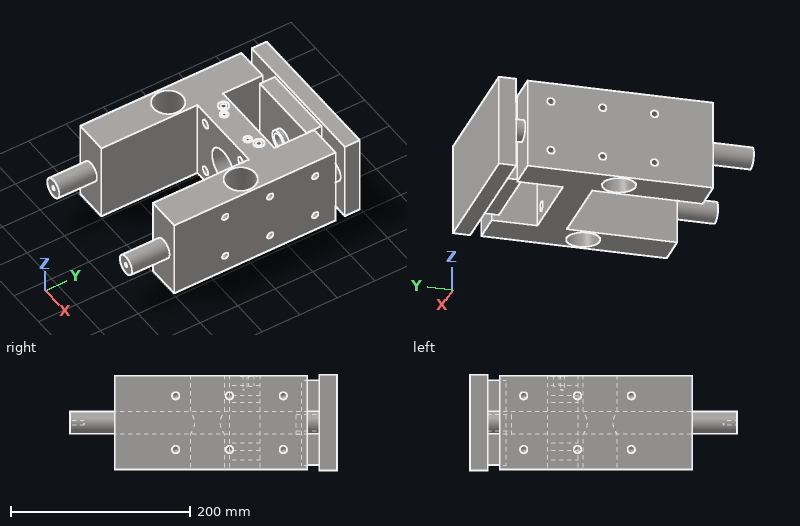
import cadquery as cq
import math


rod_diameter = 25.0
rod_spacing = 148.0
rod_x = rod_spacing / 2
rod_free_end = 50.0
rod_centre_hole_diameter = 4.92
rod_centre_hole_depth = 15.0

housing_width = 192.0
housing_length = 215.0
housing_height = 105.0
housing_start = rod_free_end
housing_end = housing_start + housing_length
arm_gap = 105.0
bridge_thickness = 34.0
front_recess_depth = 53.0
bridge_end = housing_end - front_recess_depth
bridge_start = bridge_end - bridge_thickness

window_diameter = 38.0
window_y = 153.0
bridge_bore_diameter = 45.0
bolt_hole_diameter = 11.0
bolt_spacing = 72.0

side_hole_diameter = 8.38
side_hole_depth = 20.0
side_hole_pitch = 60.0
side_hole_columns = 3
side_hole_rows = 2
side_hole_y = 178.0

large_port_spacing = bolt_spacing
large_port_y = bridge_end - 10.0
large_port_recess_diameter = 13.0
large_port_hole_diameter = 6.65
large_port_depth = housing_height / 2 - bolt_spacing / 2
small_port_spacing = 48.0
small_port_y = bridge_end - 17.0
small_port_recess_diameter = 10.0
small_port_hole_diameter = 4.92
small_port_depth = 15.0
port_recess_depth = 1.0

plate_width = 190.0
plate_height = 107.0
plate_thickness = 20.0
housing_to_plate_gap = 13.0
plate_start = housing_end + housing_to_plate_gap
block_size = 95.0
block_thickness = 20.0
block_start = plate_start - block_thickness
boss_diameter = 26.0
boss_length = 6.0
boss_start = block_start - boss_length
boss_hole_diameter = 18.38

drill_tip_angle = 118.0


def box(width, start, length, height):
    """Box centred on X and Z that begins at Y = start."""
    return cq.Workplane("XY").box(width, length, height).translate((0, start + length / 2, 0))


def cylinder(diameter, length, origin, direction):
    """Cylinder that grows from origin along direction."""
    return cq.Workplane(
        cq.Solid.makeCylinder(diameter / 2, length, cq.Vector(*origin), cq.Vector(*direction))
    )


def drilled_hole(diameter, depth, origin, direction):
    """Cutter for a blind hole with a conical drill tip beyond its full-diameter depth."""
    radius = diameter / 2
    tip_length = radius / math.tan(math.radians(drill_tip_angle / 2))
    start = cq.Vector(*origin)
    axis = cq.Vector(*direction)
    tip = cq.Solid.makeCone(radius, 0, tip_length, start + axis * depth, axis)
    return cylinder(diameter, depth, origin, direction).union(cq.Workplane(tip))


def cut_bridge_holes(body):
    """Central bore and four bolt holes along Y through the bridge."""
    body = body.cut(cylinder(bridge_bore_diameter, bridge_thickness, (0, bridge_start, 0), (0, 1, 0)))
    for side in (-1, 1):
        for level in (-1, 1):
            origin = (side * bolt_spacing / 2, bridge_start, level * bolt_spacing / 2)
            body = body.cut(cylinder(bolt_hole_diameter, bridge_thickness, origin, (0, 1, 0)))
    return body


def cut_rod_bores_and_windows(body):
    """Bore for each rod along its arm, crossed by a vertical window."""
    for side in (-1, 1):
        x = side * rod_x
        body = body.cut(cylinder(rod_diameter, housing_length, (x, housing_start, 0), (0, 1, 0)))
        window_origin = (x, window_y, -housing_height / 2)
        body = body.cut(cylinder(window_diameter, housing_height, window_origin, (0, 0, 1)))
    return body


def cut_side_holes(body):
    """Grid of blind holes in both outer side faces."""
    for side in (-1, 1):
        for column in range(side_hole_columns):
            y = side_hole_y + (column - (side_hole_columns - 1) / 2) * side_hole_pitch
            for row in range(side_hole_rows):
                z = (row - (side_hole_rows - 1) / 2) * side_hole_pitch
                origin = (side * housing_width / 2, y, z)
                body = body.cut(drilled_hole(side_hole_diameter, side_hole_depth, origin, (-side, 0, 0)))
    return body


def cut_ports(body):
    """Recessed ports on top: the large pair opens into the upper bolt holes, the small pair is blind."""
    top = housing_height / 2
    down = (0, 0, -1)
    for side in (-1, 1):
        large = (side * large_port_spacing / 2, large_port_y, top)
        body = body.cut(cylinder(large_port_recess_diameter, port_recess_depth, large, down))
        body = body.cut(cylinder(large_port_hole_diameter, large_port_depth, large, down))
        small = (side * small_port_spacing / 2, small_port_y, top)
        body = body.cut(cylinder(small_port_recess_diameter, port_recess_depth, small, down))
        body = body.cut(drilled_hole(small_port_hole_diameter, small_port_depth, small, down))
    return body


def make_housing():
    """H-shaped housing: two long arms joined by a bridge."""
    body = box(housing_width, housing_start, housing_length, housing_height)
    body = body.cut(box(arm_gap, housing_start, bridge_start - housing_start, housing_height))
    body = body.cut(box(arm_gap, bridge_end, front_recess_depth, housing_height))
    body = cut_bridge_holes(body)
    body = cut_rod_bores_and_windows(body)
    body = cut_side_holes(body)
    return cut_ports(body)


def make_carriage():
    """End plate with its adapter block, hollow boss and two guide rods."""
    body = box(plate_width, plate_start, plate_thickness, plate_height)
    body = body.union(box(block_size, block_start, block_thickness, block_size))
    body = body.union(cylinder(boss_diameter, boss_length, (0, boss_start, 0), (0, 1, 0)))
    boss_hole_depth = plate_start - boss_start
    body = body.cut(cylinder(boss_hole_diameter, boss_hole_depth, (0, boss_start, 0), (0, 1, 0)))
    for side in (-1, 1):
        rod_end = (side * rod_x, 0, 0)
        body = body.union(cylinder(rod_diameter, plate_start, rod_end, (0, 1, 0)))
        body = body.cut(drilled_hole(rod_centre_hole_diameter, rod_centre_hole_depth, rod_end, (0, 1, 0)))
    return body


housing = make_housing().solids()
carriage = make_carriage().solids()

result = cq.Compound.makeCompound([housing.val(), carriage.val()])